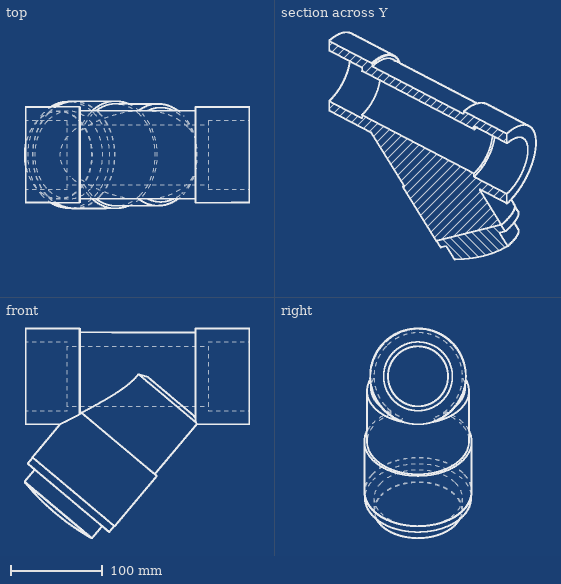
import cadquery as cq
import math

pipe_length = 243.5
pipe_diameter = 96.0
socket_length = 59.2
socket_diameter = 104.5
socket_chamfer = 0.7
bore_diameter = 65.0
socket_bore_diameter = 75.0
socket_bore_depth = 45.0

branch_angle = 50.0
branch_crossing_x = 35.7
cap_face_depth = 132.2
neck_diameter = 111.1
neck_start = 80.0
neck_end = 156.2
neck_chamfer = 4.2
barrel_diameter = 117.0

flange_diameter = 116.0
flange_thickness = 8.5
knob_diameter = 96.0
knob_length = 17.6
knob_chamfer = 0.5
dome_height = 4.5

branch_slope = math.radians(branch_angle)
branch_direction = (math.cos(branch_slope), 0, math.sin(branch_slope))
branch_origin = (branch_crossing_x - cap_face_depth / math.tan(branch_slope), 0, -cap_face_depth)
branch_plane = cq.Plane(
    origin=branch_origin,
    xDir=(math.sin(branch_slope), 0, -math.cos(branch_slope)),
    normal=branch_direction,
)


def pipe_cylinder(diameter, start, length):
    """Cylinder along X, beginning at x = start."""
    return cq.Workplane("YZ", origin=(start, 0, 0)).circle(diameter / 2).extrude(length)


def branch_cylinder(diameter, start, end):
    """Cylinder on the branch axis between two distances along it."""
    return cq.Workplane(branch_plane).workplane(offset=start).circle(diameter / 2).extrude(end - start)


def make_neck():
    """Narrow upper part of the branch, with its upper rim chamfered."""
    neck = branch_cylinder(neck_diameter, neck_start, neck_end)
    rim = neck.faces(cq.selectors.DirectionMinMaxSelector(cq.Vector(*branch_direction), True)).edges()
    return neck.newObject(rim.vals()).chamfer(neck_chamfer)


def make_sockets(pipe_start):
    """End sockets, each with its inward outer edge chamfered."""
    left = pipe_cylinder(socket_diameter, pipe_start, socket_length)
    left = left.faces(">X").edges().chamfer(socket_chamfer)
    return [left, left.mirror("YZ")]


def make_housing():
    """Pipe with two end sockets, a slanted branch and a stepped through bore."""
    pipe_start = -pipe_length / 2
    socket_bore_starts = (pipe_start, pipe_length / 2 - socket_bore_depth)

    housing = pipe_cylinder(pipe_diameter, pipe_start, pipe_length)
    for socket in make_sockets(pipe_start):
        housing = housing.union(socket)
    housing = housing.union(branch_cylinder(barrel_diameter, flange_thickness, neck_start))
    housing = housing.union(make_neck())

    housing = housing.cut(pipe_cylinder(bore_diameter, pipe_start, pipe_length))
    for start in socket_bore_starts:
        housing = housing.cut(pipe_cylinder(socket_bore_diameter, start, socket_bore_depth))
    return housing


def make_cap():
    """Flange and round knob with a shallow domed end, revolved about the branch axis."""
    knob_radius = knob_diameter / 2
    rim_radius = knob_radius - knob_chamfer
    dome_radius = (rim_radius**2 + dome_height**2) / (2 * dome_height)
    half_chord = rim_radius / 2
    half_sag = dome_radius - math.sqrt(dome_radius**2 - half_chord**2)
    dome_tip = -knob_length - dome_height
    profile_plane = cq.Plane(
        origin=branch_origin,
        xDir=(0, 1, 0),
        normal=branch_plane.xDir.toTuple(),
    )
    return (
        cq.Workplane(profile_plane)
        .moveTo(0, flange_thickness)
        .lineTo(flange_diameter / 2, flange_thickness)
        .lineTo(flange_diameter / 2, 0)
        .lineTo(knob_radius, 0)
        .lineTo(knob_radius, knob_chamfer - knob_length)
        .lineTo(rim_radius, -knob_length)
        .threePointArc((half_chord, dome_tip + half_sag), (0, dome_tip))
        .close()
        .revolve(360, (0, 0), (0, 1))
    )


housing = make_housing()
cap = make_cap()
result = cq.Compound.makeCompound([housing.val(), cap.val()])